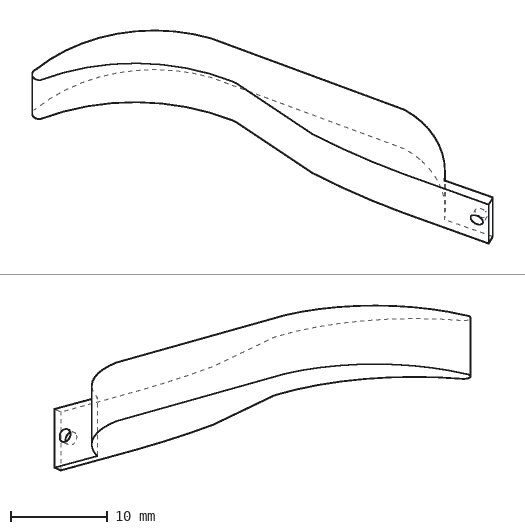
import cadquery as cq
import math

length = 50.05
depth = 12.6
height = 6.5

tip_radius = 0.75
tip_outer = (0.15, 1.2)
tip_inner = (1.2, 0.15)
tip_middle_offset = tip_radius * (1 - math.sqrt(0.5))
tip_middle = (tip_middle_offset, tip_middle_offset)

neck_back_middle = (5.4, 8.75)
back_start = (14.75, depth)
back_end = (36.85, depth)
shoulder_middle = (41.2, 10.65)

tab_start = 44.55
tab_front = 4.9
tab_rise = 0.1
tab_thickness = 1.05
tab_back = tab_front + tab_thickness
hole_diameter = 1.4
hole_from_end = 1.35

blend_end = (40.15, tab_front)
blend_middle = (34.75, 5.1)
slope_end = (29.6, 5.65)
crest_right = (19.65, 8.35)
crest_left = (19.2, 8.4)
neck_front_middle = (9.0, 6.25)


def make_body():
    """Extrude the curved outline, traced clockwise from the tip, over the full height."""
    return (
        cq.Workplane("XY")
        .moveTo(*tip_outer)
        .threePointArc(neck_back_middle, back_start)
        .lineTo(*back_end)
        .threePointArc(shoulder_middle, (tab_start, tab_back))
        .lineTo(length, tab_back + tab_rise)
        .lineTo(length, tab_front + tab_rise)
        .lineTo(*blend_end)
        .threePointArc(blend_middle, slope_end)
        .lineTo(*crest_right)
        .lineTo(*crest_left)
        .threePointArc(neck_front_middle, tip_inner)
        .threePointArc(tip_middle, tip_outer)
        .close()
        .extrude(height)
    )


def make_pin_hole():
    """Cylinder through the tab along Y, centred on its height."""
    return (
        cq.Workplane("XZ", origin=(length - hole_from_end, depth, height / 2))
        .circle(hole_diameter / 2)
        .extrude(depth)
    )


result = make_body().cut(make_pin_hole())